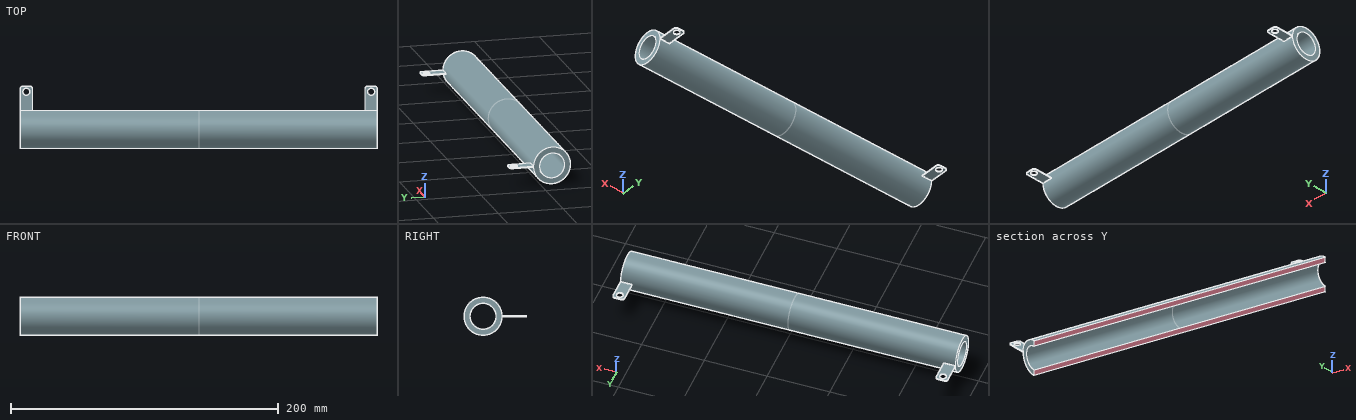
import cadquery as cq

tube_length = 267.0
tube_diameter = 28.5
bore_diameter = 19.2

overall_depth = 46.7
tab_width = 9.3
tab_thickness = 0.8
tab_corner_radius = 2.1
tab_hole_diameter = 5.0
tab_hole_to_tip = 4.3

tube_radius = tube_diameter / 2
tab_tip_y = overall_depth - tube_radius
tab_hole_y = tab_tip_y - tab_hole_to_tip
tab_center_x = (tube_length - tab_width) / 2


def cylinder_along_x(diameter):
    """Solid cylinder of the tube's length, centred on the X axis."""
    return cq.Workplane("YZ").circle(diameter / 2).extrude(tube_length / 2, both=True)


def make_tube():
    return cylinder_along_x(tube_diameter).cut(cylinder_along_x(bore_diameter))


def make_tab(center_x):
    """Tab with a rounded tip and a hole, its root shaped to the tube wall."""
    blank = (
        cq.Workplane("XY")
        .center(center_x, tab_tip_y / 2)
        .rect(tab_width, tab_tip_y)
        .extrude(tab_thickness / 2, both=True)
        .edges("|Z and >Y")
        .fillet(tab_corner_radius)
    )
    hole = (
        cq.Workplane("XY")
        .center(center_x, tab_hole_y)
        .circle(tab_hole_diameter / 2)
        .extrude(tab_thickness, both=True)
    )
    return blank.cut(hole).cut(cylinder_along_x(tube_diameter))


tube = make_tube()
tabs = [make_tab(side * tab_center_x) for side in (-1, 1)]

result = cq.Compound.makeCompound([tube.val(), *[tab.val() for tab in tabs]])